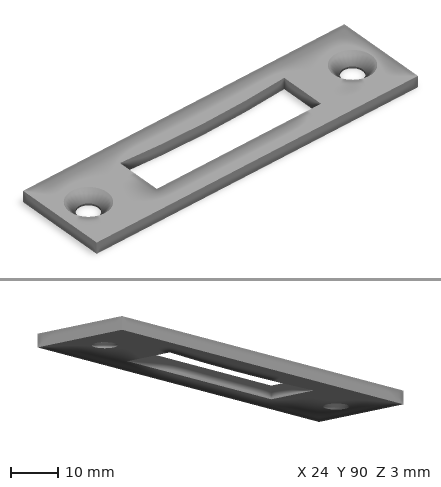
import cadquery as cq

plate_width = 24.0
plate_length = 90.0
plate_thickness = 3.0

slot_length = 46.0
slot_straight_x = 6.0
slot_corner_x = -6.0
slot_bow = 1.0

hole_spacing = 74.0
hole_diameter = 5.5
countersink_diameter = 10.5
countersink_angle = 90.0


def make_plate():
    """Flat rectangular plate resting on Z = 0, centred in X and Y."""
    return cq.Workplane("XY").box(
        plate_width, plate_length, plate_thickness, centered=(True, True, False)
    )


def make_slot():
    """Cutter for the through slot, with the -X side arched towards +X."""
    half_length = slot_length / 2
    return (
        cq.Workplane("XY")
        .moveTo(slot_corner_x, -half_length)
        .lineTo(slot_straight_x, -half_length)
        .lineTo(slot_straight_x, half_length)
        .lineTo(slot_corner_x, half_length)
        .threePointArc((slot_corner_x + slot_bow, 0), (slot_corner_x, -half_length))
        .close()
        .extrude(plate_thickness)
    )


def add_screw_holes(body):
    """Pair of countersunk holes on the plate's long centreline."""
    half_spacing = hole_spacing / 2
    return (
        body.faces(">Z")
        .workplane(origin=(0, 0, plate_thickness))
        .pushPoints([(0, -half_spacing), (0, half_spacing)])
        .cskHole(hole_diameter, countersink_diameter, countersink_angle)
    )


result = add_screw_holes(make_plate().cut(make_slot()))